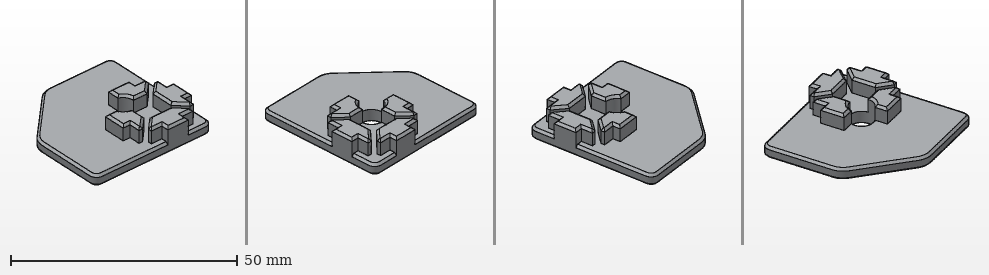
import cadquery as cq

PLATE_SIZE = 34.15
PLATE_THICKNESS = 3.0
CORNER_CUT = 14.15
CORNER_RADIUS = 2.0
CUT_CORNER_RADIUS = 5.0
EDGE_CHAMFER = 0.6
SELECTION_MARGIN = 0.35

TOTAL_HEIGHT = 7.0
KEY_REACH = 10.0
KEY_INNER_FACE = 3.93
KEY_SHOULDER = 8.0
STEM_HALF_WIDTH = 3.0
HEAD_HALF_WIDTH = 6.05

HOLE_DIAMETER = 6.0
HOLE_OFFSET = 4.0

half_size = PLATE_SIZE / 2
key_centre = half_size - KEY_REACH
hole_centre = key_centre - HOLE_OFFSET


def make_plate():
    outline = [
        (-half_size, half_size),
        (half_size, half_size),
        (half_size, -half_size),
        (-half_size + CORNER_CUT, -half_size),
        (-half_size, -half_size + CORNER_CUT),
    ]
    plate = cq.Workplane("XY").polyline(outline).close().extrude(PLATE_THICKNESS)
    box_low = -half_size - SELECTION_MARGIN
    box_high = -half_size + CORNER_CUT + SELECTION_MARGIN
    cut_corners = cq.selectors.BoxSelector(
        (box_low, box_low, 0),
        (box_high, box_high, PLATE_THICKNESS),
    )
    plate = plate.edges("|Z").edges(cut_corners).fillet(CUT_CORNER_RADIUS)
    square_corners = "(>X and >Y) or (>X and <Y) or (<X and >Y)"
    plate = plate.edges("|Z").edges(square_corners).fillet(CORNER_RADIUS)
    return plate.faces("<Z or >Z").edges().chamfer(EDGE_CHAMFER)


def make_hole_cutter():
    return (
        cq.Workplane("XY")
        .center(hole_centre, hole_centre)
        .circle(HOLE_DIAMETER / 2)
        .extrude(TOTAL_HEIGHT)
    )


def key_side(has_head):
    if not has_head:
        return [(STEM_HALF_WIDTH, KEY_INNER_FACE), (STEM_HALF_WIDTH, KEY_REACH)]
    flank_end = KEY_INNER_FACE + HEAD_HALF_WIDTH - STEM_HALF_WIDTH
    return [
        (STEM_HALF_WIDTH, KEY_INNER_FACE),
        (HEAD_HALF_WIDTH, flank_end),
        (HEAD_HALF_WIDTH, KEY_SHOULDER),
        (STEM_HALF_WIDTH, KEY_SHOULDER),
        (STEM_HALF_WIDTH, KEY_REACH),
    ]


def make_key(angle, head_right, head_left, hole_cutter):
    right_side = key_side(head_right)
    left_side = [(-x, y) for x, y in reversed(key_side(head_left))]
    key_base = PLATE_THICKNESS - EDGE_CHAMFER
    key = (
        cq.Workplane("XY")
        .workplane(offset=key_base)
        .polyline(right_side + left_side)
        .close()
        .extrude(TOTAL_HEIGHT - key_base)
        .rotate((0, 0, 0), (0, 0, 1), angle)
        .translate((key_centre, key_centre, 0))
    )
    return key.cut(hole_cutter).faces(">Z").edges().chamfer(EDGE_CHAMFER)


hole = make_hole_cutter()
keys = [
    make_key(0, True, True, hole),
    make_key(90, True, False, hole),
    make_key(180, False, True, hole),
    make_key(270, True, True, hole),
]

result = make_plate().cut(hole)
for key in keys:
    result = result.union(key)